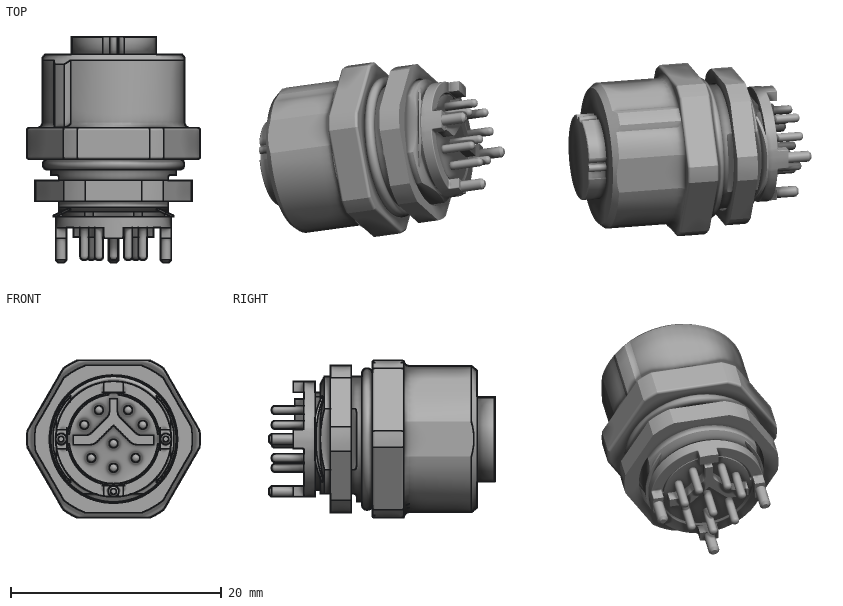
import cadquery as cq
import math


flange_across_flats = 15.0
flange_corner_radius = 8.25
flange_thickness = 3.0
flange_edge_round = 0.25

sleeve_radius = 6.97
sleeve_end_y = 9.97
sleeve_chamfer_radial = 0.45
sleeve_chamfer_axial = 0.55
sleeve_flare = 0.5
sleeve_flat_x = 6.77

rib_flat_radius = 7.28
rib_tip_half_width = 0.62
rib_tip_round = 0.1
rib_foot_half_width = 1.14
rib_angle = 45

core_radius = 4.08
overall_length = 21.5
core_end_y = 11.67
core_edge_chamfer = 0.07
key_half_width = 1.04
key_depth = 0.4
key_rib_radius = 0.36
key_shoulder_radius = 0.69

neck_radius = 5.97
neck_end_y = -4.97
neck_chamfer_axial = 0.42
neck_chamfer_radial = 0.8
neck_flat = 5.22
neck_flat_start_y = -1.5
neck_lip_round = 0.2

ring_wire_radius = 0.5
ring_major_radius = 6.25
seat_radius = ring_major_radius - ring_wire_radius
nut_across_flats = 14.0
nut_corner_radius = 7.5
nut_bore_radius = 6.1
nut_start_y = -2.0
nut_thickness = 2.0

carrier_radius = 4.88
carrier_step_z = 4.03
carrier_step_top_z = 4.45
carrier_step_half_width = 1.92

shield_radius = 5.5
shield_bore_radius = 4.4
shield_start_y = -5.45
shield_end_y = -6.5
shield_edge_round = 0.08

insert_radius = 4.23
insert_face_y = -6.4
groove_depth = 0.3

tab_half_width = 0.91
tab_root_round = 0.16
tab_end_y = -7.52
tab_overhang = 0.3
tab_inner = 4.45

wall_end_y = -7.4
wall_reach = 3.82
wall_stem_half_width = 0.37
wall_arm_top_z = 0.35
wall_arm_bottom_z = -0.52
wall_apex_z = 1.31
wall_valley_z = 2.68
wall_bend_round = 0.9
bridge_half_width = 0.45

wing_radius = 5.77
wing_tip_x = 5.73
wing_tip_y = -5.35
wing_base_y = -5.47
wing_root_x = 4.2
wing_root_y = -4.63
wing_sheet = 0.15

contact_radius = 0.41
contact_end_y = -9.6
contact_tip_round = 0.36
contact_places = [
    (-1.39, 2.76), (1.39, 2.76),
    (-2.78, 1.35), (2.78, 1.35),
    (-2.11, -1.8), (2.11, -1.8),
    (0, -0.42), (0, -2.74),
]
ground_radius = 0.52
ground_end_y = core_end_y - overall_length
ground_tip_chamfer = 0.25
ground_centre = shield_radius - ground_radius
ground_places = [(-ground_centre, 0), (ground_centre, 0), (0, -ground_centre)]


def face_plane(y):
    """Plane across the axis at y, with local x = X and local y = Z."""
    return cq.Workplane("XZ", origin=(0, y, 0))


def cylinder(radius, y_from, y_to):
    """Round bar on the axis, from the larger y down to the smaller."""
    return face_plane(y_from).circle(radius).extrude(y_from - y_to)


def block(x_range, y_range, z_range):
    """Box between the given limits."""
    size = [high - low for low, high in (x_range, y_range, z_range)]
    corner = (x_range[0], y_range[0], z_range[0])
    return cq.Workplane("XY").box(*size, centered=False).translate(corner)


def rounded_hexagon(across_flats, corner_radius, y_from, thickness):
    """Hexagon with flats at +Z and -Z and its corners turned to a cylinder."""
    corner_diameter = across_flats / math.cos(math.pi / 6)
    hexagon = face_plane(y_from).polygon(6, corner_diameter).extrude(thickness)
    return hexagon.intersect(cylinder(corner_radius, y_from, y_from - thickness))


def about_axis(shape, angle):
    """Turn a shape about the connector axis."""
    return shape.rotate((0, 0, 0), (0, 1, 0), angle)


def make_sleeve_turning(radius):
    """Turned sleeve of a given radius, between a shared end chamfer cone and foot flare."""
    extra = radius - sleeve_radius
    shoulder_y = sleeve_end_y - sleeve_chamfer_axial * (1 + extra / sleeve_chamfer_radial)
    foot_y = flange_thickness + sleeve_flare - math.sqrt(sleeve_flare**2 - (sleeve_flare - extra) ** 2)
    return (
        cq.Workplane("XY")
        .moveTo(0, flange_thickness)
        .lineTo(sleeve_radius + sleeve_flare, flange_thickness)
        .radiusArc((radius, foot_y), sleeve_flare)
        .lineTo(radius, shoulder_y)
        .lineTo(sleeve_radius - sleeve_chamfer_radial, sleeve_end_y)
        .lineTo(0, sleeve_end_y)
        .close()
        .revolve(360, (0, 0, 0), (0, 1, 0))
    )


def make_sleeve():
    """Sleeve with flats at +X and -X and one raised rib at the upper -X side."""
    sleeve = make_sleeve_turning(sleeve_radius)
    outside_x = flange_corner_radius
    flat_cut = (
        cq.Workplane("XY", origin=(0, 0, -sleeve_radius))
        .moveTo(sleeve_flat_x, sleeve_end_y)
        .lineTo(sleeve_flat_x, flange_thickness + sleeve_flare)
        .radiusArc((sleeve_flat_x + sleeve_flare, flange_thickness), -sleeve_flare)
        .lineTo(outside_x, flange_thickness)
        .lineTo(outside_x, sleeve_end_y)
        .close()
        .extrude(2 * sleeve_radius)
    )
    sleeve = sleeve.cut(flat_cut).cut(flat_cut.mirror("YZ"))

    rib_foot = math.sqrt(sleeve_radius**2 - rib_foot_half_width**2)
    rib_bar = (
        face_plane(sleeve_end_y)
        .polyline([
            (-rib_foot_half_width, core_radius),
            (-rib_foot_half_width, rib_foot),
            (-rib_tip_half_width, rib_flat_radius),
            (rib_tip_half_width, rib_flat_radius),
            (rib_foot_half_width, rib_foot),
            (rib_foot_half_width, core_radius),
        ])
        .close()
        .extrude(sleeve_end_y - flange_thickness)
        .edges("|Y and >Z")
        .fillet(rib_tip_round)
    )
    rib = about_axis(rib_bar, -rib_angle).intersect(make_sleeve_turning(rib_flat_radius))
    return sleeve.union(rib)


def make_plug_core():
    """Mating core with a key groove, ribbed and round-shouldered, at +Z and at -X."""
    core = cylinder(core_radius, core_end_y, sleeve_end_y).faces(">Y").chamfer(core_edge_chamfer)
    groove_floor = core_radius - key_depth
    key_edge_drop = core_radius - math.sqrt(core_radius**2 - key_half_width**2)
    groove = block(
        (-key_half_width, key_half_width),
        (sleeve_end_y, core_end_y),
        (groove_floor, core_radius),
    )
    key_rib = (
        face_plane(core_end_y)
        .center(0, groove_floor)
        .circle(key_rib_radius)
        .extrude(core_end_y - sleeve_end_y)
    )
    shoulder = (
        face_plane(core_end_y)
        .center(key_half_width, core_radius - key_shoulder_radius - key_edge_drop)
        .circle(key_shoulder_radius)
        .extrude(core_end_y - sleeve_end_y)
    )
    key_groove = groove.cut(key_rib).cut(shoulder)
    for angle in (0, -90):
        core = core.cut(about_axis(key_groove, angle))
    return core


def make_neck():
    """Plain round neck with an O-ring seat and flats at +X, -X and -Z."""
    seat_end_y = -2 * ring_wire_radius
    profile = [
        (0, 0),
        (seat_radius, 0),
        (seat_radius, seat_end_y),
        (neck_radius, seat_end_y),
        (neck_radius, neck_end_y + neck_chamfer_axial),
        (neck_radius - neck_chamfer_radial, neck_end_y),
        (0, neck_end_y),
    ]
    neck = cq.Workplane("XY").polyline(profile).close().revolve(360, (0, 0, 0), (0, 1, 0))
    flat_cut = block(
        (-neck_radius, neck_radius),
        (neck_end_y, neck_flat_start_y),
        (neck_flat, neck_radius),
    )
    flat_cut = flat_cut.edges(">Y and <Z").fillet(neck_lip_round)
    for angle in (-90, 90, 180):
        neck = neck.cut(about_axis(flat_cut, angle))
    return neck


def make_carrier():
    """Carrier between neck and shield ring, stepped down at its +Z side."""
    y_range = (shield_start_y, neck_end_y)
    full = cylinder(carrier_radius, neck_end_y, shield_start_y)
    lower = block((-carrier_radius, carrier_radius), y_range, (-carrier_radius, carrier_step_z))
    step = block(
        (-carrier_step_half_width, carrier_step_half_width),
        y_range,
        (0, carrier_step_top_z),
    )
    return full.intersect(lower.union(step))


def make_tab():
    """Stock for the shield ring tab at +Z, with rounded root corners."""
    root_y = shield_end_y
    outer_width = tab_half_width + tab_root_round
    return (
        cq.Workplane("XY", origin=(0, 0, tab_inner))
        .moveTo(-outer_width, root_y)
        .radiusArc((-tab_half_width, root_y - tab_root_round), tab_root_round)
        .lineTo(-tab_half_width, tab_end_y)
        .lineTo(tab_half_width, tab_end_y)
        .lineTo(tab_half_width, root_y - tab_root_round)
        .radiusArc((outer_width, root_y), tab_root_round)
        .lineTo(outer_width, insert_face_y)
        .lineTo(-outer_width, insert_face_y)
        .close()
        .extrude(shield_radius - tab_inner + tab_overhang)
    )


def make_shield():
    """Shield ring with its insert face, ring groove, groove bridges and four tabs."""
    shield = cylinder(shield_radius + tab_overhang, shield_start_y, shield_end_y)
    tab = make_tab()
    for angle in (0, 90, 180, 270):
        shield = shield.union(about_axis(tab, angle))
    shield = shield.intersect(cylinder(shield_radius, shield_start_y, tab_end_y))
    shield = shield.cut(cylinder(shield_bore_radius, insert_face_y + groove_depth, shield_end_y))
    margin = shield_edge_round / 10
    rim = cq.selectors.BoxSelector(
        (-shield_radius, shield_end_y - margin, -shield_radius),
        (shield_radius, shield_end_y + margin, shield_radius),
    )
    shield = shield.edges(rim).edges("%CIRCLE").fillet(shield_edge_round)
    shield = shield.union(cylinder(insert_radius, shield_start_y, insert_face_y))
    bridge = block(
        (-bridge_half_width, bridge_half_width),
        (insert_face_y, shield_start_y),
        (wall_reach, tab_inner),
    )
    for angle in (-90, 0, 90):
        shield = shield.union(about_axis(bridge, angle))
    return shield


def make_wall():
    """Raised Y-shaped wall that separates the contacts."""
    stem_bend = (wall_stem_half_width, wall_valley_z - wall_stem_half_width)
    arm_bend = (wall_valley_z - wall_arm_top_z, wall_arm_top_z)
    lower_bend = (wall_apex_z - wall_arm_bottom_z, wall_arm_bottom_z)
    right_side = [
        (wall_stem_half_width, wall_reach),
        stem_bend,
        arm_bend,
        (wall_reach, wall_arm_top_z),
        (wall_reach, wall_arm_bottom_z),
        lower_bend,
    ]
    left_side = [(-x, z) for x, z in reversed(right_side)]
    wall = (
        face_plane(shield_start_y)
        .polyline(right_side + [(0, wall_apex_z)] + left_side)
        .close()
        .extrude(shield_start_y - wall_end_y)
    )
    for x, z in (stem_bend, arm_bend, lower_bend):
        for side in (-1, 1):
            bend = cq.selectors.NearestToPointSelector((side * x, shield_end_y, z))
            wall = wall.edges("|Y").edges(bend).fillet(wall_bend_round)
    return wall


def make_wing():
    """Sloping sheet at +X that joins the neck to the shield ring."""
    sheet = (
        cq.Workplane("XY", origin=(0, 0, -wing_radius))
        .polyline([
            (wing_tip_x, wing_base_y),
            (wing_tip_x, wing_tip_y),
            (wing_root_x, wing_root_y),
            (wing_root_x - wing_sheet, wing_root_y - wing_sheet),
            (wing_tip_x - 2 * wing_sheet, wing_base_y),
        ])
        .close()
        .extrude(2 * wing_radius)
    )
    return sheet.intersect(cylinder(wing_radius, wing_root_y, wing_base_y))


def make_contact():
    """Signal contact on the axis with a domed tip."""
    pin = cylinder(contact_radius, shield_start_y, contact_end_y)
    return pin.faces("<Y").edges().fillet(contact_tip_round)


def make_ground_pin():
    """Shield pin on the axis with a chamfered tip."""
    pin = cylinder(ground_radius, tab_end_y, ground_end_y)
    return pin.faces("<Y").edges().chamfer(ground_tip_chamfer)


def make_housing():
    """Connector housing with its carrier, shield and pins as one body."""
    flange = rounded_hexagon(
        flange_across_flats, flange_corner_radius, flange_thickness, flange_thickness
    )
    flange = flange.faces("<Y or >Y").edges().fillet(flange_edge_round)
    wing = make_wing()
    housing = flange
    for section in (
        make_sleeve(),
        make_plug_core(),
        make_neck(),
        make_carrier(),
        make_shield(),
        make_wall(),
        wing,
        wing.mirror("YZ"),
    ):
        housing = housing.union(section)

    for pin, places in ((make_contact(), contact_places), (make_ground_pin(), ground_places)):
        for x, z in places:
            housing = housing.union(pin.translate((x, 0, z)))
    return housing


def make_seal():
    """O-ring seated on the neck against the flange."""
    return (
        cq.Workplane("XY")
        .center(ring_major_radius, -ring_wire_radius)
        .circle(ring_wire_radius)
        .revolve(360, (-ring_major_radius, 0, 0), (-ring_major_radius, 1, 0))
    )


def make_nut():
    """Plain hexagon nut around the neck, with a small gap to it."""
    nut = rounded_hexagon(nut_across_flats, nut_corner_radius, nut_start_y, nut_thickness)
    return nut.cut(cylinder(nut_bore_radius, nut_start_y, nut_start_y - nut_thickness))


housing = make_housing()
seal = make_seal()
nut = make_nut()

result = cq.Compound.makeCompound([housing.solids().val(), seal.val(), nut.val()])